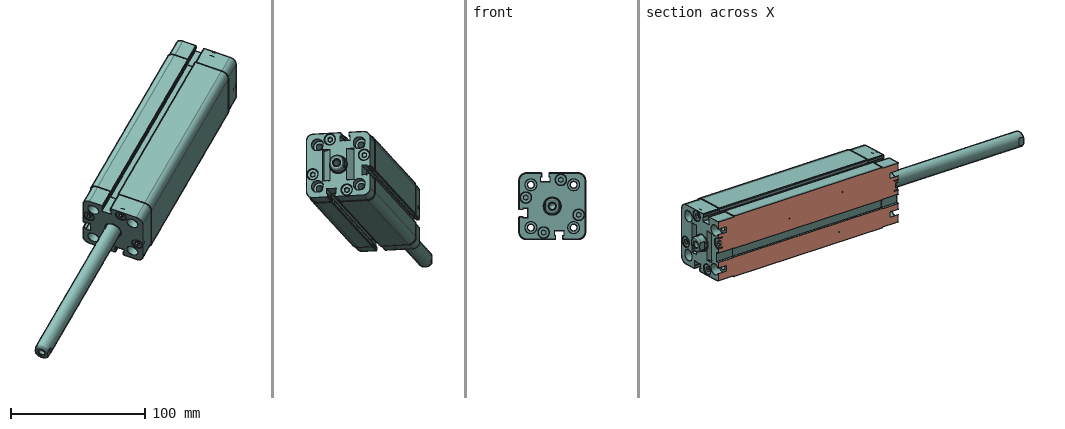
import cadquery as cq
import math

total_length = 306.5
front_face = 130.3
cap_length = 15.0
rear_stub = 5.8
rear_face = total_length - rear_stub

barrel_width = 50.0
cap_width = 48.7
barrel_corner_radius = 5.8
cap_corner_radius = barrel_corner_radius - (barrel_width - cap_width) / 2

slot_offset = 5.2
slot_neck_width = 5.2
slot_inner_width = 6.7
slot_shoulder_height = 21.8
slot_floor_height = 18.5
slot_mouth_chamfer = 0.5
cap_slot_clearance = 0.3

mount_pitch = 32.0
mount_hole_diameter = 5.0
mount_bore_diameter = 9.0
mount_bore_depth = cap_length / 2
half_pitch = mount_pitch / 2
mounts = [(x, z) for x in (-half_pitch, half_pitch) for z in (-half_pitch, half_pitch)]

screw_side_offset = 6.5
screw_axis_distance = 19.5
screw_bore_diameter = 8.5
screw_bore_depth = 4.0
screw_head_diameter = 8.0
screw_head_recess = 0.5
screw_socket_width = 3.5
screw_socket_depth = 1.8
screw_socket_sides = 6
screws = [
    (screw_side_offset, screw_axis_distance),
    (-screw_axis_distance, screw_side_offset),
    (-screw_side_offset, -screw_axis_distance),
    (screw_axis_distance, -screw_side_offset),
]

rod_diameter = 12.0
rod_end_radius = 1.2
rod_gap_diameter = 13.5
rod_gap_depth = 1.0
flat_width = 10.0
flat_length = 4.5
tap_diameter = 5.0
tap_countersink_diameter = 6.0
tap_depth = 15.0
drill_point_angle = 118

QUARTER_TURN = 90


def section_plane(y):
    """XZ plane at the given y, extruding toward the front."""
    return cq.Workplane("XZ", origin=(0, y, 0))


def cylinder(diameter, y_start, y_end, points=((0, 0),)):
    plane = section_plane(max(y_start, y_end)).pushPoints(points)
    return plane.circle(diameter / 2).extrude(abs(y_end - y_start))


def turned(solid, angle):
    """Turn a solid about the rod axis, top toward the left for positive angles."""
    return solid.rotate((0, 0, 0), (0, 1, 0), -angle)


def sensor_slot(width, clearance, length):
    """T-slot cutter for the top side, widened and deepened by the clearance."""
    surface = width / 2
    neck = slot_neck_width / 2 + clearance
    inner = slot_inner_width / 2 + clearance
    floor_height = slot_floor_height - clearance
    mouth = neck + slot_mouth_chamfer
    right_side = [
        (inner, floor_height),
        (inner, slot_shoulder_height),
        (neck, slot_shoulder_height),
        (neck, surface - slot_mouth_chamfer),
        (mouth, surface),
    ]
    left_side = [(-x, z) for x, z in reversed(right_side)]
    outline = [(x - slot_offset, z) for x, z in right_side + left_side]
    return section_plane(length).polyline(outline).close().extrude(length)


def body_section(width, corner_radius, slot_clearance, y_start, y_end):
    """Rounded square bar with its three sensor slots."""
    length = y_end - y_start
    bar = section_plane(length).rect(width, width).extrude(length).edges("|Y").fillet(corner_radius)
    slot = sensor_slot(width, slot_clearance, length)
    for quarter in range(3):
        bar = bar.cut(turned(slot, quarter * QUARTER_TURN))
    return bar.translate((0, y_start, 0))


def sunk_screws(face, inward):
    """Cutter that leaves four socket screw heads in their bores on one end face."""
    head_face = face + inward * screw_head_recess
    head_bottom = face + inward * screw_bore_depth
    bores = cylinder(screw_bore_diameter, face, head_bottom, screws)
    heads = cylinder(screw_head_diameter, head_face, head_bottom, screws)
    corner_radius = screw_socket_width / 2 / math.cos(math.pi / screw_socket_sides)
    socket = cq.Sketch().regularPolygon(corner_radius, screw_socket_sides)
    placed_sockets = section_plane(head_face).pushPoints(screws).placeSketch(socket)
    sockets = placed_sockets.extrude(-inward * screw_socket_depth)
    return bores.cut(heads).union(sockets)


def rod_flats():
    """Cutter for both wrench flats at the front tip, each running out on a 45 degree ramp."""
    flat = flat_width / 2
    clear = rod_diameter
    outline = [(flat, 0), (flat, flat_length), (clear, flat_length + clear - flat), (clear, 0)]
    side = cq.Workplane("XY").polyline(outline).close().extrude(clear, both=True)
    return side.union(side.mirror("YZ"))


def tapped_hole():
    """Cutter for the countersunk blind hole in the front tip, with a drill point."""
    radius = tap_diameter / 2
    mouth = tap_countersink_diameter / 2
    point = radius / math.tan(math.radians(drill_point_angle / 2))
    outline = [(0, 0), (mouth, 0), (radius, mouth - radius), (radius, tap_depth), (0, tap_depth + point)]
    return cq.Workplane("XY").polyline(outline).close().revolve(360, (0, 0), (0, 1))


front_seam = front_face + cap_length
rear_seam = rear_face - cap_length
body = body_section(barrel_width, barrel_corner_radius, 0, front_seam, rear_seam)
body = body.union(body_section(cap_width, cap_corner_radius, cap_slot_clearance, front_face, front_seam))
body = body.union(body_section(cap_width, cap_corner_radius, cap_slot_clearance, rear_seam, rear_face))

body = body.cut(cylinder(mount_hole_diameter, front_face, rear_face, mounts))
for face, inward in ((front_face, 1), (rear_face, -1)):
    body = body.cut(cylinder(mount_bore_diameter, face, face + inward * mount_bore_depth, mounts))
    body = body.cut(sunk_screws(face, inward))
    body = body.cut(cylinder(rod_gap_diameter, face, face + inward * rod_gap_depth))

rod = cylinder(rod_diameter, 0, total_length).faces("<Y or >Y").fillet(rod_end_radius)
result = body.union(rod)
tip_cutter = rod_flats().union(tapped_hole())
result = result.cut(tip_cutter)
result = result.cut(tip_cutter.mirror("XZ").translate((0, total_length, 0)))